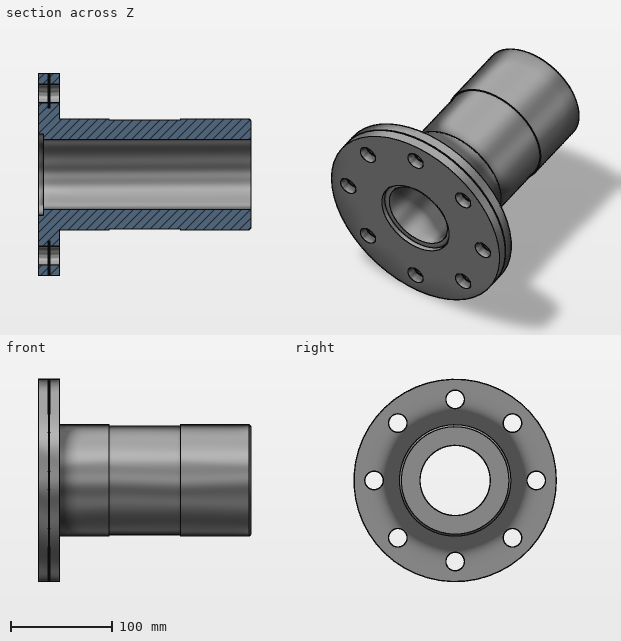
import cadquery as cq

total_length = 210.0
flange_thickness = 21.0
collar_end = 70.0
sleeve_start = 140.0

flange_diameter = 200.0
collar_diameter = 110.0
neck_diameter = 107.7
sleeve_chamfer = 2.0

gap_width = 1.0
gap_inner_diameter = 132.0

bore_diameter = 69.0
recess_diameter = 80.0
recess_depth = 5.0

bolt_count = 8
bolt_diameter = 18.0
bolt_circle_diameter = 160.0


def cylinder(diameter, start, end):
    """Solid cylinder about the X axis between two X positions."""
    return cq.Workplane("YZ", origin=(start, 0, 0)).circle(diameter / 2).extrude(end - start)


flange = cylinder(flange_diameter, 0, flange_thickness)
collar = cylinder(collar_diameter, flange_thickness, collar_end)
neck = cylinder(neck_diameter, collar_end, sleeve_start)
sleeve = cylinder(collar_diameter, sleeve_start, total_length)
sleeve = sleeve.faces(">X").edges().chamfer(sleeve_chamfer)
body = flange.union(collar).union(neck).union(sleeve)

gap_start = (flange_thickness - gap_width) / 2
gap_end = gap_start + gap_width
rim_gap = cylinder(flange_diameter, gap_start, gap_end).cut(
    cylinder(gap_inner_diameter, gap_start, gap_end)
)

bore = cylinder(bore_diameter, 0, total_length)
recess = cylinder(recess_diameter, 0, recess_depth)

bolt_holes = (
    cq.Workplane("YZ")
    .polarArray(bolt_circle_diameter / 2, 0, 360, bolt_count)
    .circle(bolt_diameter / 2)
    .extrude(flange_thickness)
)

result = body.cut(rim_gap).cut(bore).cut(recess).cut(bolt_holes)